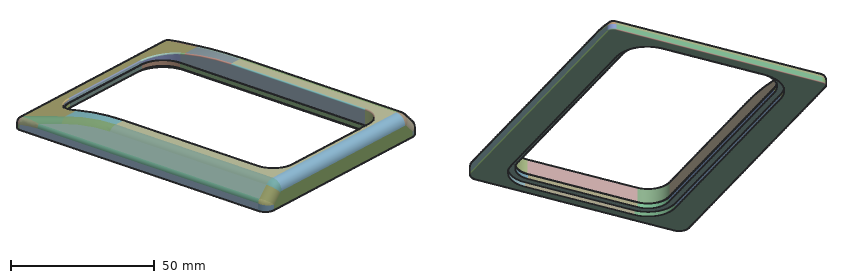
import cadquery as cq
import math

length = 112.8
width = 85.0
height = 10.0

ramp_angle = math.radians(12)
ramp_blend_radius = 100.0
flat_start = 38.9
ramp_end = flat_start - ramp_blend_radius * math.sin(ramp_angle)
ramp_end_height = height - ramp_blend_radius * (1 - math.cos(ramp_angle))
rim_height = ramp_end_height - ramp_end * math.tan(ramp_angle)

crown_radius = 5.0
corner_radius = 2.4
rim_radius = 2.3
back_radius = 4.0
base_radius = 0.3

window_start = 6.7
window_end = 107.0
window_width = 59.3
low_window_radius = 9.7
high_window_radius = 8.3
window_edge_radius = 0.5
lip_top = 3.8
lip_width = 0.2
rebate_depth = 1.8
rebate_width = 2.3

overhang = 11.3
tolerance = 0.01


def top_profile_body():
    """Body under the ramp, blend and flat top, wider and longer than the part."""
    half_angle = ramp_angle / 2
    blend_middle = (
        flat_start - ramp_blend_radius * math.sin(half_angle),
        height - ramp_blend_radius * (1 - math.cos(half_angle)),
    )
    return (
        cq.Workplane("XZ")
        .moveTo(-overhang, -overhang)
        .lineTo(-overhang, rim_height - overhang * math.tan(ramp_angle))
        .lineTo(ramp_end, ramp_end_height)
        .threePointArc(blend_middle, (flat_start, height))
        .lineTo(length, height)
        .lineTo(length, -overhang)
        .close()
        .extrude(width, both=True)
    )


def flank_body():
    """Long prism with 45 degree flanks that meet the side walls at rim height."""
    top_half = width / 2 - (height - rim_height)
    bottom_half = width / 2 + rim_height + overhang
    return (
        cq.Workplane("YZ", origin=(-overhang, 0, 0))
        .polyline([
            (-bottom_half, -overhang),
            (bottom_half, -overhang),
            (top_half, height),
            (-top_half, height),
        ])
        .close()
        .extrude(length + overhang)
    )


def edges_where(body, condition):
    """Edges of the body on which the condition holds near both ends and in the middle."""
    return body.newObject([
        edge for edge in body.edges().vals()
        if all(condition(edge.positionAt(t)) for t in (0.05, 0.5, 0.95))
    ])


def on_low_end(p):
    return abs(p.x) < tolerance


def on_high_end(p):
    return abs(p.x - length) < tolerance


def on_side(p):
    return abs(abs(p.y) - width / 2) < tolerance


def on_flank(p):
    return abs(width / 2 - abs(p.y) - (p.z - rim_height)) < tolerance


def above_base(p):
    return p.z > tolerance


def is_crown_edge(p):
    return on_flank(p) and above_base(p) and not on_high_end(p)


def is_low_corner_edge(p):
    return on_low_end(p) and on_side(p)


def is_rim_edge(p):
    on_corner = p.x < corner_radius and abs(p.y) > width / 2 - corner_radius
    on_wall = on_side(p) or on_low_end(p) or on_corner
    return on_wall and p.z > rim_height / 2 and not on_high_end(p)


def is_back_edge(p):
    return on_high_end(p) and above_base(p)


def window_cutter(bottom, top, growth):
    """Rounded rectangular prism: the window outline moved outwards by growth on every side."""
    return (
        cq.Workplane("XY", origin=((window_start + window_end) / 2, 0, bottom))
        .rect(window_end - window_start + 2 * growth, window_width + 2 * growth)
        .extrude(top - bottom)
        .edges("|Z and <X")
        .fillet(low_window_radius + growth)
        .edges("|Z and >X")
        .fillet(high_window_radius + growth)
    )


def is_window_top_edge(p):
    inside_x = window_start - tolerance < p.x < window_end + tolerance
    inside_y = abs(p.y) < window_width / 2 + tolerance
    return inside_x and inside_y and p.z > lip_top + tolerance


crown = top_profile_body().intersect(flank_body())
crown = edges_where(crown, is_crown_edge).fillet(crown_radius)
block = cq.Workplane("XY").box(length, width, height, centered=(False, True, False))
body = crown.intersect(block)

body = edges_where(body, is_low_corner_edge).fillet(corner_radius)
body = edges_where(body, is_rim_edge).fillet(rim_radius)
body = edges_where(body, is_back_edge).fillet(back_radius)
body = body.faces("<Z").edges().fillet(base_radius)

body = body.cut(window_cutter(lip_top, height, 0))
body = edges_where(body, is_window_top_edge).fillet(window_edge_radius)
body = body.cut(window_cutter(0, lip_top, -lip_width))
result = body.cut(window_cutter(0, rebate_depth, rebate_width))